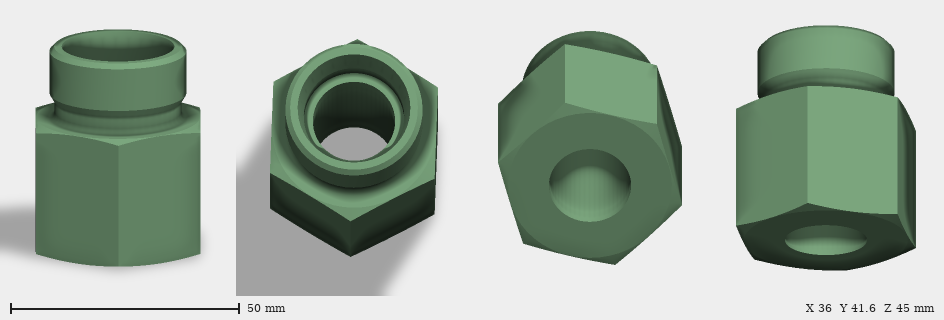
import cadquery as cq
import math

across_flats = 36.05
body_height = 29.0
corner_face_diameter = 35.8
corner_chamfer_angle = 15.0

total_height = 45.0
spigot_radius = 30.0 / 2
spigot_bottom = 34.5
mouth_chamfer = 1.05

neck_radius = 27.7 / 2
neck_fillet = 1.2
relief_cone_angle = 30.0

bore_diameter = 18.0
socket_radius = 22.0 / 2
socket_depth = 9.9
mouth_radius = 24.65 / 2
mouth_cone_half_angle = 12.0


def slope(angle):
    """Return the tangent of an angle in degrees."""
    return math.tan(math.radians(angle))


def revolve_profile(profile):
    """Turn a closed radius-height profile around the Z axis."""
    return profile.close().revolve(360, (0, 0, 0), (0, 1, 0))


def make_body():
    """Hexagonal prism with two flats facing X and its corners chamfered at both ends."""
    corner_diameter = across_flats / math.cos(math.radians(30))
    hexagon = (
        cq.Workplane("XY")
        .polygon(6, corner_diameter)
        .extrude(body_height)
        .rotate((0, 0, 0), (0, 0, 1), 30)
    )
    face_radius = corner_face_diameter / 2
    corner_radius = corner_diameter / 2
    corner_drop = (corner_radius - face_radius) * slope(corner_chamfer_angle)
    envelope = revolve_profile(
        cq.Workplane("XZ")
        .moveTo(0, 0)
        .lineTo(face_radius, 0)
        .lineTo(corner_radius, corner_drop)
        .lineTo(corner_radius, body_height - corner_drop)
        .lineTo(face_radius, body_height)
        .lineTo(0, body_height)
    )
    return hexagon.intersect(envelope)


def make_spigot():
    """Chamfered cylinder on a narrower neck with rounded transitions."""
    cone_angle = math.radians(relief_cone_angle)
    fillet_center_radius = neck_radius + neck_fillet

    def fillet_radius_at(angle):
        return fillet_center_radius - neck_fillet * math.cos(angle)

    def fillet_rise_at(angle):
        return neck_fillet * math.sin(angle)

    cone_start_radius = fillet_radius_at(cone_angle)
    cone_start = spigot_bottom - (spigot_radius - cone_start_radius) / math.tan(cone_angle)
    neck_top = cone_start - fillet_rise_at(cone_angle)
    upper_mid = (fillet_radius_at(cone_angle / 2), neck_top + fillet_rise_at(cone_angle / 2))

    neck_bottom = body_height + neck_fillet
    lower_mid = (fillet_radius_at(math.pi / 4), neck_bottom - fillet_rise_at(math.pi / 4))

    return revolve_profile(
        cq.Workplane("XZ")
        .moveTo(0, body_height)
        .lineTo(fillet_center_radius, body_height)
        .threePointArc(lower_mid, (neck_radius, neck_bottom))
        .lineTo(neck_radius, neck_top)
        .threePointArc(upper_mid, (cone_start_radius, cone_start))
        .lineTo(spigot_radius, spigot_bottom)
        .lineTo(spigot_radius, total_height - mouth_chamfer)
        .lineTo(spigot_radius - mouth_chamfer, total_height)
        .lineTo(0, total_height)
    )


def make_bore():
    """Through bore, wider socket and conical mouth as one cutting solid."""
    bore_radius = bore_diameter / 2
    socket_floor = total_height - socket_depth
    cone_depth = (mouth_radius - socket_radius) / slope(mouth_cone_half_angle)
    return revolve_profile(
        cq.Workplane("XZ")
        .moveTo(0, 0)
        .lineTo(bore_radius, 0)
        .lineTo(bore_radius, socket_floor)
        .lineTo(socket_radius, socket_floor)
        .lineTo(socket_radius, total_height - cone_depth)
        .lineTo(mouth_radius, total_height)
        .lineTo(0, total_height)
    )


result = make_body().union(make_spigot()).cut(make_bore())